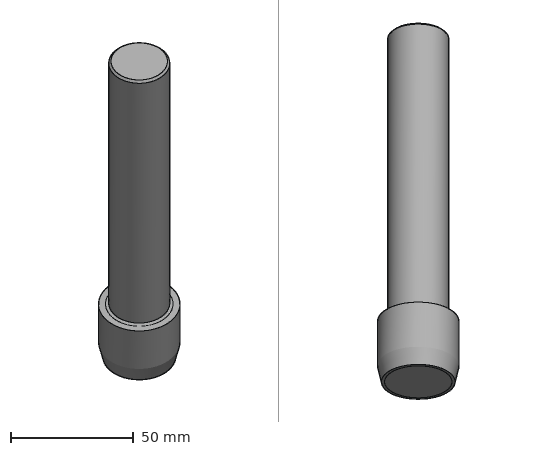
import cadquery as cq

total_height = 160.0
shaft_radius = 12.5
shaft_chamfer = 1.0

foot_radius = 13.8
foot_height = 28.0

collar_radius = 16.6
collar_rim_height = foot_height
collar_crown_rise = 0.6
collar_top_height = collar_rim_height + collar_crown_rise
nose_height = 7.2
nose_radius = 15.0


def make_pin():
    """Round shaft, chamfered at its upper end, on a slightly wider foot."""
    foot = cq.Workplane("XY").circle(foot_radius).extrude(foot_height)
    shaft = (
        cq.Workplane("XY")
        .circle(shaft_radius)
        .extrude(total_height)
        .faces(">Z")
        .chamfer(shaft_chamfer)
    )
    return foot.union(shaft)


def make_collar():
    """Sleeve with a tapered nose and a shallow conical crown that covers the foot's shoulder."""
    return (
        cq.Workplane("XZ")
        .moveTo(foot_radius, 0)
        .lineTo(nose_radius, 0)
        .lineTo(collar_radius, nose_height)
        .lineTo(collar_radius, collar_rim_height)
        .lineTo(shaft_radius, collar_top_height)
        .lineTo(shaft_radius, foot_height)
        .lineTo(foot_radius, foot_height)
        .close()
        .revolve(360, (0, 0), (0, 1))
    )


pin = make_pin()
collar = make_collar()
result = cq.Compound.makeCompound([pin.val(), collar.val()])